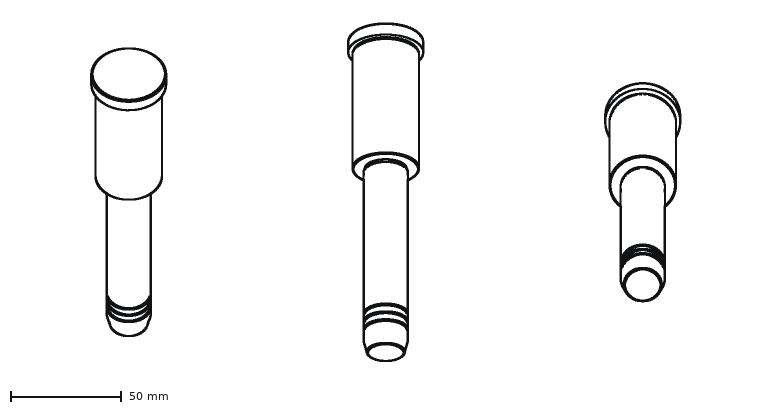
import cadquery as cq

total_length = 160.0
head_diameter = 34.0
head_thickness = 6.0
head_chamfer = 0.6
collar_diameter = 30.0
collar_end_depth = 66.0
collar_chamfer = 0.5
shank_diameter = 20.0

head_relief_width = 1.0
head_relief_depth = 0.5
neck_length = 1.5
neck_depth = 0.5

groove_count = 3
groove_pitch = 4.0
lowest_groove_height = 11.4
groove_width = 1.0
groove_depth = 0.5

tip_length = 6.0
tip_diameter = 17.0
tip_chamfer = 0.5

head_bottom = total_length - head_thickness
collar_bottom = total_length - collar_end_depth


def cylinder(diameter, bottom, top):
    """Solid cylinder on the Z axis between two heights."""
    return cq.Workplane("XY").workplane(offset=bottom).circle(diameter / 2).extrude(top - bottom)


def ring(diameter, depth, bottom, width):
    """Cutter for a square groove running around a cylinder."""
    outer = cylinder(diameter + 2 * depth, bottom, bottom + width)
    return outer.cut(cylinder(diameter - 2 * depth, bottom, bottom + width))


def v_ring(diameter, depth, centre, width):
    """Cutter for a V-shaped groove, deepest at its centre height."""
    radius = diameter / 2
    profile = [(radius - depth, centre), (radius + depth, centre + width), (radius + depth, centre - width)]
    return cq.Workplane("XZ").polyline(profile).close().revolve(360, (0, 0, 0), (0, 1, 0))


head = cylinder(head_diameter, head_bottom, total_length).faces(">Z").edges().chamfer(head_chamfer)
collar = cylinder(collar_diameter, collar_bottom, head_bottom).faces("<Z").edges().chamfer(collar_chamfer)
head_relief_bottom = head_bottom - head_relief_width
collar = collar.cut(ring(collar_diameter, head_relief_depth, head_relief_bottom, head_relief_width))

shank = cylinder(shank_diameter, tip_length, collar_bottom)
shank = shank.cut(ring(shank_diameter, neck_depth, collar_bottom - neck_length, neck_length))
for index in range(groove_count):
    groove_centre = lowest_groove_height + index * groove_pitch
    shank = shank.cut(v_ring(shank_diameter, groove_depth, groove_centre, groove_width))

tip = (
    cq.Workplane("XY")
    .circle(tip_diameter / 2)
    .workplane(offset=tip_length)
    .circle(shank_diameter / 2)
    .loft(ruled=True)
    .faces("<Z")
    .edges()
    .chamfer(tip_chamfer)
)

result = head.union(collar).union(shank).union(tip).translate((0, 0, -total_length / 2))